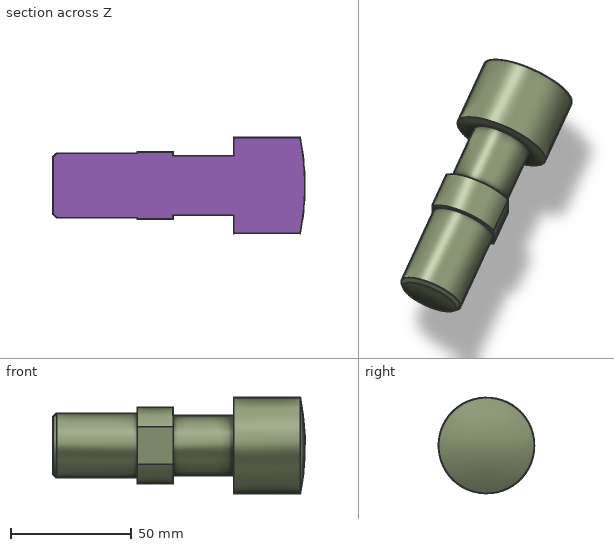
import cadquery as cq

SHANK_LENGTH = 35.0
COLLAR_LENGTH = 15.0
NECK_LENGTH = 25.2
OVERALL_LENGTH = 105.0

SHANK_DIAMETER = 27.0
COLLAR_DIAMETER = 32.0
NECK_DIAMETER = 25.0
HEAD_DIAMETER = 40.0

SHANK_CHAMFER = 1.5
COLLAR_ACROSS_FLATS = 28.0
CROWN_RADIUS = 100.0

COLLAR_START = SHANK_LENGTH
NECK_START = COLLAR_START + COLLAR_LENGTH
HEAD_START = NECK_START + NECK_LENGTH
CROWN_CENTRE = OVERALL_LENGTH - CROWN_RADIUS


def cylinder_along_x(start, length, diameter):
    return cq.Workplane("YZ", origin=(start, 0, 0)).circle(diameter / 2).extrude(length)


def make_shank():
    """Plain shank with a chamfered free end."""
    shank = cylinder_along_x(0, SHANK_LENGTH, SHANK_DIAMETER)
    return shank.faces("<X").chamfer(SHANK_CHAMFER)


def make_collar():
    """Round collar with two wrench flats facing -Y and +Y."""
    collar = cylinder_along_x(COLLAR_START, COLLAR_LENGTH, COLLAR_DIAMETER)
    flats = cq.Workplane("YZ", origin=(COLLAR_START, 0, 0)).rect(
        COLLAR_ACROSS_FLATS, COLLAR_DIAMETER
    ).extrude(COLLAR_LENGTH)
    return collar.intersect(flats)


def make_head():
    """Cylindrical head with a shallow spherical crown on its end."""
    head = cylinder_along_x(HEAD_START, OVERALL_LENGTH - HEAD_START, HEAD_DIAMETER)
    crown = cq.Workplane("XY").sphere(CROWN_RADIUS).rotate((0, 0, 0), (0, 0, 1), 180)
    crown = crown.translate((CROWN_CENTRE, 0, 0))
    return head.intersect(crown)


neck = cylinder_along_x(NECK_START, NECK_LENGTH, NECK_DIAMETER)
result = make_shank().union(make_collar()).union(neck).union(make_head())